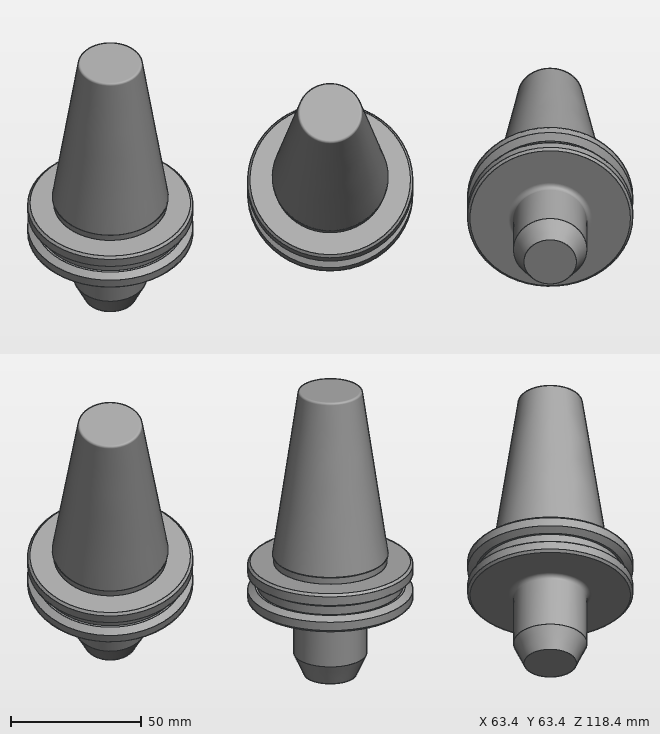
import cadquery as cq
import math

total_length = 118.4

tip_radius = 10.1
nose_radius = 14.1
nose_cone_height = 8.9
nose_fillet = 1.9

flange_radius = 31.7
flange_bottom = 30.9
flange_height = 16.0
flange_chamfer = 1.0
groove_center = 38.8
groove_floor_radius = 28.1
groove_floor_width = 3.8
groove_flank_depth = 2.8
groove_flank_angle = 30.0

gauge_height = 50.0
gauge_radius = 22.3
taper_slope = 7 / 24 / 2
neck_radius = 21.8
gauge_chamfer = 0.5
shank_end_fillet = 1.0

flange_top = flange_bottom + flange_height
groove_flank_radius = flange_radius - groove_flank_depth
groove_flank_rise = groove_flank_depth * math.tan(math.radians(groove_flank_angle))
groove_floor_low = groove_center - groove_floor_width / 2
groove_floor_high = groove_center + groove_floor_width / 2
shank_end_radius = gauge_radius - (total_length - gauge_height) * taper_slope
fillet_center_radius = nose_radius + nose_fillet
fillet_center_height = flange_bottom - nose_fillet
fillet_mid = (
    fillet_center_radius - nose_fillet * math.cos(math.pi / 4),
    fillet_center_height + nose_fillet * math.sin(math.pi / 4),
)

profile = cq.Workplane("XZ").lineTo(tip_radius, 0)

profile = (
    profile.lineTo(nose_radius, nose_cone_height)
    .lineTo(nose_radius, fillet_center_height)
    .threePointArc(fillet_mid, (fillet_center_radius, flange_bottom))
)

profile = (
    profile.lineTo(flange_radius - flange_chamfer, flange_bottom)
    .lineTo(flange_radius, flange_bottom + flange_chamfer)
    .lineTo(flange_radius, groove_floor_low - groove_flank_rise)
    .lineTo(groove_flank_radius, groove_floor_low)
    .lineTo(groove_floor_radius, groove_floor_low)
    .lineTo(groove_floor_radius, groove_floor_high)
    .lineTo(groove_flank_radius, groove_floor_high)
    .lineTo(flange_radius, groove_floor_high + groove_flank_rise)
    .lineTo(flange_radius, flange_top - flange_chamfer)
    .lineTo(flange_radius - flange_chamfer, flange_top)
)

profile = (
    profile.lineTo(neck_radius, flange_top)
    .lineTo(neck_radius, gauge_height - gauge_chamfer)
    .lineTo(gauge_radius, gauge_height)
    .lineTo(shank_end_radius, total_length)
    .lineTo(0, total_length)
    .close()
)

holder = profile.revolve(360, (0, 0, 0), (0, 1, 0))

result = holder.faces(">Z").edges().fillet(shank_end_fillet)